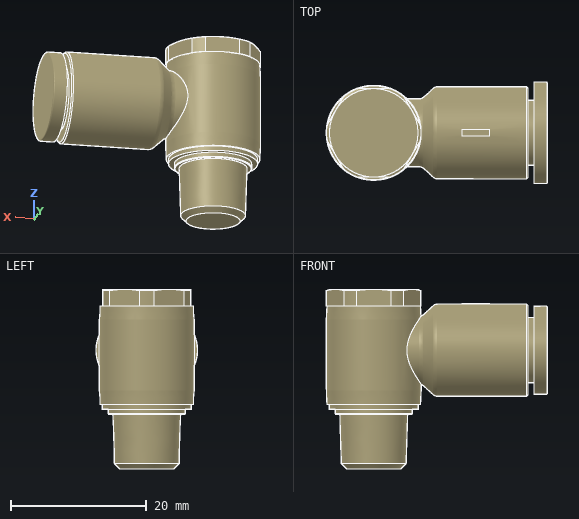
import cadquery as cq
import math


body_radius = 7.0
body_end_radius = 6.9
collar_radius = 6.6
seat_radius = 5.7
seat_chamfer = 0.1
thread_top_radius = 5.02
thread_end_radius = 4.8
thread_chamfer = 0.8

thread_height = 8.1
seat_height = 0.75
collar_height = 0.7
body_taper_height = 2.02
body_straight_height = 10.5

hex_height = 2.45
hex_sides = 6
hex_flats = 13.05
hex_chamfer_height = 0.2

seat_z = thread_height
collar_z = seat_z + seat_height
body_z = collar_z + collar_height
straight_bottom_z = body_z + body_taper_height
straight_top_z = straight_bottom_z + body_straight_height
body_top_z = straight_top_z + body_taper_height
top_z = body_top_z + hex_height

arm_rise = 6.0
arm_z = straight_bottom_z + arm_rise
neck_radius = 5.02
arm_radius = 6.8
cone_start_x = 7.07
cone_end_x = 9.03
cone_fillet = 0.88
arm_end_x = 22.75
arm_end_chamfer = 0.23
tube_radius = 4.82

ring_start_x = 23.6
ring_thickness = 2.0
ring_half_width = 7.5
ring_half_height = 6.52
ring_fillet = 0.2

key_start_x = 13.05
key_length = 4.0
key_width = 1.0
key_rise = 0.1


def turn_about_z(profile):
    """Solid of revolution about Z from a closed outline of (radius, height) points."""
    return cq.Workplane("XZ").polyline(profile).close().revolve(360, (0, 0), (0, 1))


def make_body():
    """Threaded stem, seat, collar and swivel body as one turned profile."""
    profile = [
        (0, 0),
        (thread_end_radius - thread_chamfer, 0),
        (thread_end_radius, thread_chamfer),
        (thread_top_radius, seat_z),
        (seat_radius - seat_chamfer, seat_z),
        (seat_radius, seat_z + seat_chamfer),
        (seat_radius, collar_z),
        (collar_radius, collar_z),
        (collar_radius, body_z),
        (body_end_radius, body_z),
        (body_radius, straight_bottom_z),
        (body_radius, straight_top_z),
        (body_end_radius, body_top_z),
        (0, body_top_z),
    ]
    return turn_about_z(profile)


def make_hex_head():
    """Hexagon with two flats facing Y, its corners turned down and chamfered."""
    corner_diameter = hex_flats / math.cos(math.pi / hex_sides)
    hexagon = (
        cq.Workplane("XY", origin=(0, 0, body_top_z))
        .polygon(hex_sides, corner_diameter)
        .extrude(hex_height)
    )
    turned_profile = [
        (0, body_top_z),
        (body_radius, body_top_z),
        (body_radius, top_z - hex_chamfer_height),
        (hex_flats / 2, top_z),
        (0, top_z),
    ]
    return hexagon.intersect(turn_about_z(turned_profile))


def make_arm():
    """Neck, blended cone, sleeve and inner tube turned about the arm axis."""
    profile = [
        (0, 0),
        (0, neck_radius),
        (cone_start_x, neck_radius),
        (cone_end_x, arm_radius),
        (arm_end_x, arm_radius),
        (arm_end_x, 0),
    ]
    sleeve = (
        cq.Workplane("XZ", origin=(0, 0, arm_z))
        .polyline(profile)
        .close()
        .revolve(360, (0, 0), (1, 0))
    )
    sleeve = sleeve.faces("%CONE").edges("%CIRCLE").fillet(cone_fillet)
    sleeve = sleeve.faces(">X").edges().chamfer(arm_end_chamfer)
    tube = (
        cq.Workplane("YZ", origin=(0, 0, arm_z))
        .circle(tube_radius)
        .extrude(ring_start_x)
    )
    return sleeve.union(tube)


def make_release_ring():
    """Elliptical ring at the free end of the arm, rounded on its outer rim."""
    ring = (
        cq.Workplane("YZ", origin=(ring_start_x, 0, arm_z))
        .ellipse(ring_half_width, ring_half_height)
        .extrude(ring_thickness)
    )
    return ring.faces(">X").edges().fillet(ring_fillet)


def make_key():
    """Small flat-topped key standing proud of the arm."""
    return (
        cq.Workplane("XY", origin=(key_start_x + key_length / 2, 0, arm_z))
        .rect(key_length, key_width)
        .extrude(arm_radius + key_rise)
    )


result = (
    make_body()
    .union(make_hex_head())
    .union(make_arm())
    .union(make_release_ring())
    .union(make_key())
)